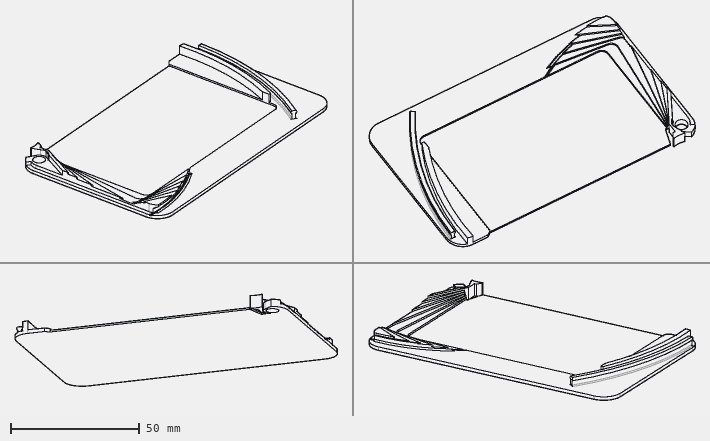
import cadquery as cq
import math

width = 70.0
length = 113.0
height = 5.2
layer_count = 7
layer = height / layer_count
plate_top = 2 * layer
hub_top = 4 * layer
corner_radius = 7.5

pivot_x = 5.9
pivot_y = 6.0
hole_diameter = 5.0
hub_radius = 3.5

card_right = 49.4
card_bottom = 4.9
card_top = 90.7
card_left = -22.6
card_corner = 2.9
card_count = 6
fan_step = 5.8
fan_angle = (card_count - 1) * fan_step

ledge_width = 1.9
ledge_end_angle = 233
block_radius = 60.2
block_web_radius = 58.4
overhang_bottom = 3.2
overhang_top = 4.4
groove_outer = 59.0
groove_floor = 1.1
ridge_top = 2.1
arm_face_offset = 3.4

rail_inner = 104.3
rail_outer = 105.8
rail_sweep = 34.5
bead = 0.5
bead_underside = height - 1.5
bead_middle = height - 0.7
bead_flat_loss = 0.1
wall_inner = 99.5
wall_outer = 101.9
wall_end_x = 50.1

relief_x = 1.4
relief_slope = 1.8
mouth_y = 13.8
mouth_end_x = 8.8
mouth_end_y = 11.5
hub_side_x = 0.7
hub_side_y = 4.6
hub_tangent_angle = 142
outside = -1.1

slit_width = 0.4
slit_radius = hub_radius + slit_width
head_top_y = 13.1
head_bottom_y = 8.1
head_tip = 0.6
head_dish = 0.3
head_back_x = 2.7
head_back_y = 11.8
arm_overlap = 0.7
arm_tangent_angle = 120


def prism(sketch, bottom, top):
    """Extrude a closed XY outline between two heights."""
    return sketch.extrude(top - bottom).translate((0, 0, bottom))


def polar(radius, angle):
    """Point on a circle about the pivot."""
    turn = math.radians(angle)
    return pivot_x + radius * math.cos(turn), pivot_y + radius * math.sin(turn)


def plate_blank(inset, top):
    """Rounded rectangle set in from the outer outline, from the ground up to a given top."""
    blank = cq.Workplane("XY").box(width - 2 * inset, length - 2 * inset, top, centered=False)
    return blank.translate((inset, inset, 0)).edges("|Z").fillet(corner_radius - inset)


def card_cut(index):
    """Space swept by one card position, open upward and to the left."""
    floor = (index + 1) * layer
    cut = cq.Workplane("XY").box(
        card_right - card_left, card_top - card_bottom, height, centered=False
    )
    cut = cut.edges("|Z and >X").fillet(card_corner)
    cut = cut.translate((card_left, card_bottom, floor))
    cut = cut.rotate((0, 0, 0), (0, 0, 1), -index * fan_step)
    return cut.translate((pivot_x, pivot_y, 0))


def guide_rail():
    """Curved rail with a fillet at each foot and a rounded bead along each top edge."""
    round_offset = bead * (1 - math.sqrt(0.5))
    profile = (
        cq.Workplane("XZ")
        .moveTo(rail_inner - bead, plate_top)
        .lineTo(rail_outer + bead, plate_top)
        .threePointArc(
            (rail_outer + round_offset, plate_top + round_offset),
            (rail_outer, plate_top + bead),
        )
        .lineTo(rail_outer, bead_underside)
        .threePointArc((rail_outer + bead, bead_middle), (rail_outer + bead_flat_loss, height))
        .lineTo(rail_inner - bead_flat_loss, height)
        .threePointArc((rail_inner - bead, bead_middle), (rail_inner, bead_underside))
        .lineTo(rail_inner, plate_top + bead)
        .threePointArc(
            (rail_inner - round_offset, plate_top + round_offset),
            (rail_inner - bead, plate_top),
        )
        .close()
    )
    rail = profile.revolve(rail_sweep, (0, 0, 0), (0, 1, 0))
    rail = rail.rotate((0, 0, 0), (0, 0, 1), 90 - rail_sweep)
    return rail.translate((pivot_x, pivot_y, 0))


def turned(points):
    """Solid of revolution about the pivot from (radius, height) points."""
    solid = cq.Workplane("XZ").polyline(points).close().revolve(360, (0, 0, 0), (0, 1, 0))
    return solid.translate((pivot_x, pivot_y, 0))


def stop_wall():
    ring = cq.Workplane("XY").center(pivot_x, pivot_y).circle(wall_outer).circle(wall_inner)
    keep = cq.Workplane("XY").box(wall_end_x, length / 2, height, centered=False)
    keep = keep.translate((0, length / 2, 0))
    return prism(ring, 0, height).intersect(keep).intersect(plate_blank(0, height))


def fan_block():
    """Disc sector with an overhanging rim and a low ridge under it, set back from the ledge."""
    profile = [
        (0, layer),
        (block_web_radius, layer),
        (block_web_radius, overhang_bottom),
        (block_radius, overhang_top),
        (block_radius, height),
        (0, height),
    ]
    ridge_profile = [
        (groove_outer, layer),
        (block_radius, layer),
        (block_radius, plate_top),
        ((groove_outer + block_radius) / 2, ridge_top),
        (groove_outer, plate_top),
    ]
    disc = turned(profile).union(turned(ridge_profile))

    turn = math.radians(ledge_end_angle)
    reach = 2 * corner_radius
    wedge = (
        cq.Workplane("XY")
        .moveTo(corner_radius, corner_radius)
        .lineTo(corner_radius + reach * math.cos(turn), corner_radius + reach * math.sin(turn))
        .lineTo(-corner_radius, corner_radius)
        .close()
        .extrude(height)
    )
    footprint = plate_blank(ledge_width, height).union(plate_blank(0, height).intersect(wedge))
    block = disc.intersect(footprint)

    lowered = cq.Workplane("XY").box(2 * length, length, height, centered=(True, False, False))
    lowered = lowered.translate((0, arm_face_offset - length, hub_top))
    lowered = lowered.rotate((0, 0, 0), (0, 0, 1), -fan_angle)
    return block.cut(lowered.translate((pivot_x, pivot_y, 0)))


def rim_groove():
    """Shallow curved groove in the plate at the foot of the block."""
    ring = cq.Workplane("XY").center(pivot_x, pivot_y).circle(groove_outer).circle(block_web_radius)
    return prism(ring, groove_floor, plate_top)


def mouth_cut():
    """Relief along the open pocket side and the mouth that frees the latch."""
    pocket_top = pivot_y + card_top
    end_angle = math.degrees(math.acos((mouth_end_x - pivot_x) / hub_radius))
    outline = (
        cq.Workplane("XY")
        .moveTo(outside, pocket_top + relief_slope)
        .lineTo(0, pocket_top + relief_slope)
        .lineTo(relief_x, pocket_top)
        .lineTo(relief_x, mouth_y)
        .lineTo(mouth_end_x, mouth_end_y)
        .lineTo(*polar(hub_radius, end_angle))
        .threePointArc(polar(hub_radius, 90), polar(hub_radius, hub_tangent_angle))
        .lineTo(hub_side_x, hub_side_y)
        .lineTo(outside, hub_side_y)
        .close()
    )
    return prism(outline, 0, height)


def latch():
    """Full-height spring arm with a dished finger head."""
    arm_top = pivot_y + card_bottom
    bend_x = pivot_x + card_bottom * math.tan(math.radians(fan_angle / 2))
    root_x = mouth_end_x + arm_overlap
    root_y = arm_top - (root_x - bend_x) * math.tan(math.radians(fan_angle))
    root_angle = math.degrees(math.acos((mouth_end_x - pivot_x) / slit_radius))
    slit_end = polar(slit_radius, root_angle)
    head_middle = (head_top_y + head_bottom_y) / 2
    outline = (
        cq.Workplane("XY")
        .moveTo(0, head_bottom_y)
        .threePointArc((head_dish, head_middle), (0, head_top_y))
        .lineTo(head_tip, head_top_y)
        .lineTo(head_back_x, head_back_y)
        .lineTo(head_back_x, arm_top)
        .lineTo(bend_x, arm_top)
        .lineTo(root_x, root_y)
        .lineTo(root_x, slit_end[1])
        .lineTo(*slit_end)
        .threePointArc(polar(slit_radius, 90), polar(slit_radius, arm_tangent_angle))
        .lineTo(head_tip, head_bottom_y)
        .close()
    )
    return prism(outline, 0, height)


body = plate_blank(0, plate_top).cut(rim_groove()).union(fan_block()).union(stop_wall())
for card_index in range(card_count):
    body = body.cut(card_cut(card_index))
body = body.cut(mouth_cut()).union(latch()).union(guide_rail())
pivot_hole = cq.Workplane("XY").center(pivot_x, pivot_y).circle(hole_diameter / 2)
result = body.cut(prism(pivot_hole, 0, height))